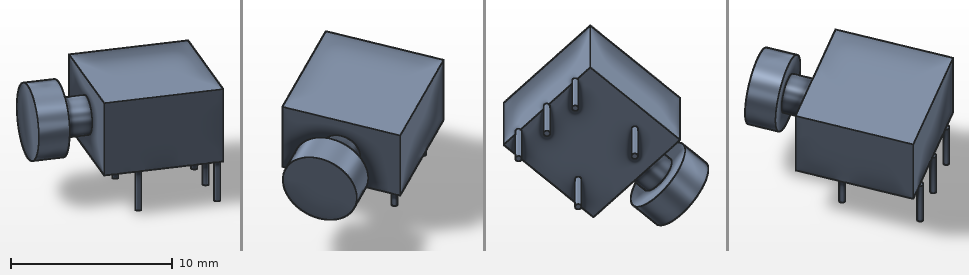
import cadquery as cq

body_width = 7.8
body_depth = 7.69
body_height = 4.9

stem_diameter = 2.5
stem_length = 1.8
cap_diameter = body_height
cap_length = 2.0

pin_diameter = 0.4
pin_length = 3.19
pin_pitch = 2.55
row_spacing = 2 * pin_pitch
back_row_y = 0
front_row_y = back_row_y - row_spacing

pin_positions = [(column * pin_pitch, back_row_y) for column in (-1, 0, 1)]
pin_positions += [(column * pin_pitch, front_row_y) for column in (-1, 1)]


def make_body():
    return cq.Workplane("XY").box(
        body_width, body_depth, body_height, centered=(True, False, False)
    ).translate((0, -body_depth, 0))


def make_button():
    """Stem and cap on a common axis, pointing out of the front face."""
    stem = (
        cq.Workplane("XZ", origin=(0, -body_depth, body_height / 2))
        .circle(stem_diameter / 2)
        .extrude(stem_length)
    )
    return stem.faces("<Y").workplane().circle(cap_diameter / 2).extrude(cap_length)


def make_pins():
    return (
        cq.Workplane("XY")
        .pushPoints(pin_positions)
        .circle(pin_diameter / 2)
        .extrude(-pin_length)
    )


result = make_body().union(make_button()).union(make_pins())